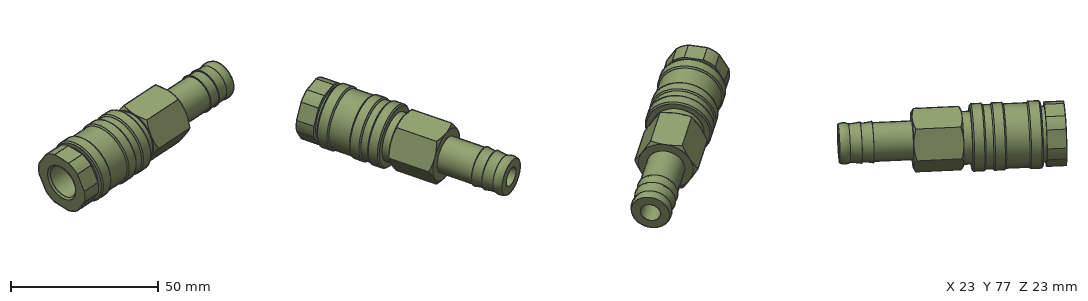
import cadquery as cq
import math

nut_end = 6.7
front_neck_end = 8.0
front_band_end = 12.6
middle_band_start = 20.55
middle_band_end = 24.95
rear_band_start = 27.6
rear_band_end = 32.0
rear_neck_end = 34.95
hex_end = 52.0
barb_pitch = 4.0
barb_count = 2
bead_start = 73.45
length = 77.0

band_diameter = 23.0
body_diameter = 22.0
band_chamfer = 0.5
front_neck_diameter = 19.0
rear_neck_diameter = 18.0
nut_diameter = 22.0
nut_across_flats = 21.0
hex_across_flats = 19.0
hex_chamfer_angle = 30
stem_radius = 6.6
barb_height = 0.5
bead_height = 0.5

socket_diameter = 12.0
socket_depth = 23.1
socket_chamfer = 0.7
bore_diameter = 7.0


def cylinder(diameter, start, end):
    """Round length of the body about the Y axis."""
    axis_plane = cq.Workplane("XZ", origin=(0, start, 0))
    return axis_plane.circle(diameter / 2).extrude(start - end)


def hexagon(across_flats, start, end):
    """Hexagonal prism about the Y axis with flats on +Z and -Z."""
    corner_diameter = across_flats / math.cos(math.pi / 6)
    axis_plane = cq.Workplane("XZ", origin=(0, start, 0))
    return axis_plane.polygon(6, corner_diameter).extrude(start - end)


def revolve_profile(profile):
    """Turn a closed radius-against-Y profile about the Y axis."""
    return profile.close().revolve(360, (0, 0, 0), (0, 1, 0))


def band(start, end):
    """Raised grip band with both rims chamfered."""
    return cylinder(band_diameter, start, end).edges("%CIRCLE").chamfer(band_chamfer)


def end_nut():
    """Round nut with six flats cut on it."""
    return cylinder(nut_diameter, 0, nut_end).intersect(hexagon(nut_across_flats, 0, nut_end))


def wrench_hex():
    """Hexagon whose corners are turned down conically at both ends."""
    face_radius = hex_across_flats / 2
    corner_radius = face_radius / math.cos(math.pi / 6)
    drop = (corner_radius - face_radius) * math.tan(math.radians(hex_chamfer_angle))
    envelope = revolve_profile(
        cq.Workplane("XY")
        .moveTo(0, rear_neck_end)
        .lineTo(face_radius, rear_neck_end)
        .lineTo(corner_radius, rear_neck_end + drop)
        .lineTo(corner_radius, hex_end - drop)
        .lineTo(face_radius, hex_end)
        .lineTo(0, hex_end)
    )
    return hexagon(hex_across_flats, rear_neck_end, hex_end).intersect(envelope)


def hose_tail():
    """Plain stem, flared barbs and a rounded bead at the tip."""
    crest_radius = stem_radius + barb_height
    first_barb = bead_start - barb_count * barb_pitch
    profile = (
        cq.Workplane("XY")
        .moveTo(0, hex_end)
        .lineTo(stem_radius, hex_end)
        .lineTo(stem_radius, first_barb)
    )
    for index in range(barb_count):
        crest = first_barb + index * barb_pitch
        profile = (
            profile.lineTo(crest_radius, crest)
            .threePointArc(
                (stem_radius + barb_height / 4, crest + barb_pitch / 2),
                (stem_radius, crest + barb_pitch),
            )
        )
    bead_middle = (bead_start + length) / 2
    profile = profile.threePointArc(
        (stem_radius + bead_height, bead_middle), (stem_radius, length)
    ).lineTo(0, length)
    return revolve_profile(profile)


def socket():
    """Wide bore open at the nut, with a chamfered mouth."""
    radius = socket_diameter / 2
    return revolve_profile(
        cq.Workplane("XY")
        .moveTo(0, 0)
        .lineTo(radius + socket_chamfer, 0)
        .lineTo(radius, socket_chamfer)
        .lineTo(radius, socket_depth)
        .lineTo(0, socket_depth)
    )


result = (
    end_nut()
    .union(cylinder(front_neck_diameter, nut_end, front_neck_end))
    .union(cylinder(body_diameter, front_band_end - band_chamfer, rear_band_start + band_chamfer))
    .union(band(front_neck_end, front_band_end))
    .union(band(middle_band_start, middle_band_end))
    .union(band(rear_band_start, rear_band_end))
    .union(cylinder(rear_neck_diameter, rear_band_end, rear_neck_end))
    .union(wrench_hex())
    .union(hose_tail())
    .cut(socket())
    .cut(cylinder(bore_diameter, 0, length))
)